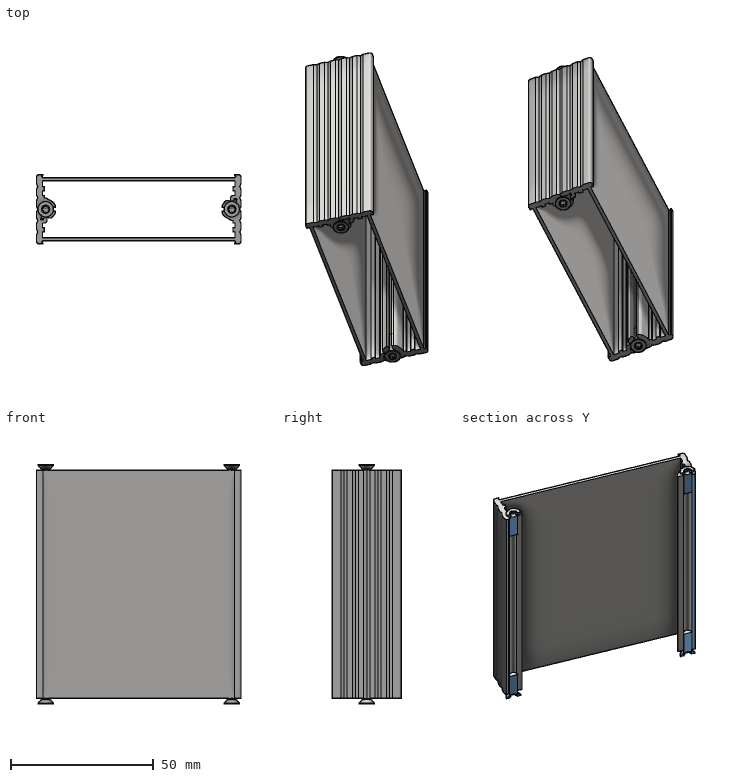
import cadquery as cq
import math

WIDTH = 71.8
DEPTH = 24.4
HEIGHT = 84.0

HEAD_STANDOFF = 2.0
SHELL_LENGTH = HEIGHT - 2 * HEAD_STANDOFF
WALL = 2.2
CORNER_RADIUS = 1.0
PANEL_OUTER_Y = 11.1
PANEL_THICKNESS = 1.2
PANEL_INNER_Y = PANEL_OUTER_Y - PANEL_THICKNESS

FLANGE_REACH = 2.3
FLANGE_TIP_Y = 11.85
FLANGE_ROOT = 1.9
PANEL_START = 2.35

GROOVE_HALF_WIDTH = 1.1
GROOVE_DEPTH = 0.4
GROOVES_PER_HALF = 2
LAST_GROOVE_Y = 8.0
GROOVE_PITCH = LAST_GROOVE_Y / GROOVES_PER_HALF

RIB_HEIGHT = 0.7
RIB_BOTTOM_Y = 6.5
RIB_TOP_Y = 7.9

SCREW_INSET = 3.3
SCREW_X = WIDTH / 2 - SCREW_INSET
WALL_INNER = WALL - SCREW_INSET
BOSS_RADIUS = 3.6
BOSS_REACH = 3.4
BOSS_BACK_ANGLE = math.radians(46)
BOSS_BACK_X = 0.2
BOSS_BACK_Y = 3.95
STEP_TOP_Y = 4.9
SLOT_WIDTH = 1.35

PARTING_END_X = -1.85
HOOK_NECK_X = -1.4
HOOK_NECK_Y = -2.35
HOOK_LEFT = -1.8
HOOK_RIGHT = -0.8
HOOK_BOTTOM = -3.4
HOOK_CLEARANCE = 0.25
JOINT_Y = -2.85
TONGUE_REACH = 0.5
TONGUE_CHAMFER = 0.7
ARM_END_X = 0.9
ARM_BOTTOM_Y = -3.1

SHANK_RADIUS = 1.5
HEAD_RADIUS = 2.7
RIM_HEIGHT = 0.4
SCREW_LENGTH = 10.1
SOCKET_MOUTH_RADIUS = 1.4
SOCKET_MOUTH_DEPTH = 0.25
SOCKET_LOBE_RADIUS = 1.35
SOCKET_VALLEY_RADIUS = 1.0
SOCKET_LOBES = 6
SOCKET_WALL_DEPTH = 1.0
SOCKET_DEPTH = 1.5


def polar(radius, angle):
    """Point at a radius and an angle around the origin."""
    return (radius * math.cos(angle), radius * math.sin(angle))


def extrude_outline(points):
    """Prism of the shell length, centred on Z = 0."""
    return cq.Workplane("XY").polyline(points).close().extrude(SHELL_LENGTH / 2, both=True)


def block(x_min, x_max, y_min, y_max):
    """Rectangular prism of the shell length."""
    return extrude_outline([(x_min, y_min), (x_max, y_min), (x_max, y_max), (x_min, y_max)])


def make_side_wall():
    """Left side wall above the parting line, with rounded corner, grooves and rib."""
    outer_x = -WIDTH / 2
    wall = block(outer_x, outer_x + PANEL_START, 0, DEPTH / 2)
    wall = wall.edges("|Z and <X and >Y").fillet(CORNER_RADIUS)
    wall = wall.cut(block(outer_x + WALL, 0, 0, PANEL_INNER_Y))

    flange_x = outer_x + FLANGE_REACH
    wall = wall.cut(extrude_outline([
        (flange_x, DEPTH / 2),
        (flange_x, FLANGE_TIP_Y),
        (outer_x + FLANGE_ROOT, (FLANGE_TIP_Y + PANEL_OUTER_Y) / 2),
        (outer_x + PANEL_START, PANEL_OUTER_Y),
        (outer_x + PANEL_START, DEPTH / 2),
    ]))

    for index in range(GROOVES_PER_HALF + 1):
        groove_y = index * GROOVE_PITCH
        wall = wall.cut(extrude_outline([
            (outer_x, groove_y - GROOVE_HALF_WIDTH),
            (outer_x + GROOVE_DEPTH, groove_y),
            (outer_x, groove_y + GROOVE_HALF_WIDTH),
        ]))

    rib = block(outer_x + WALL, outer_x + WALL + RIB_HEIGHT, RIB_BOTTOM_Y, RIB_TOP_Y)
    return wall.union(rib)


def make_boss():
    """Solid screw boss of the left side with its sloped back, lower arm and hook."""
    lip_angle = math.acos(BOSS_REACH / BOSS_RADIUS)
    arm_angle = math.asin(ARM_BOTTOM_Y / BOSS_RADIUS)
    hook_rise = JOINT_Y - HOOK_BOTTOM
    step_x = WALL_INNER + RIB_HEIGHT
    boss = (
        cq.Workplane("XY")
        .moveTo(PARTING_END_X, 0)
        .lineTo(HOOK_NECK_X, HOOK_NECK_Y)
        .lineTo(HOOK_LEFT, HOOK_BOTTOM)
        .lineTo(HOOK_RIGHT, HOOK_BOTTOM)
        .lineTo(HOOK_RIGHT + hook_rise, JOINT_Y)
        .lineTo(ARM_END_X, JOINT_Y)
        .lineTo(ARM_END_X, ARM_BOTTOM_Y)
        .lineTo(*polar(BOSS_RADIUS, arm_angle))
        .threePointArc(
            polar(BOSS_RADIUS, (arm_angle - lip_angle) / 2), polar(BOSS_RADIUS, -lip_angle)
        )
        .lineTo(*polar(BOSS_RADIUS, lip_angle))
        .threePointArc(
            polar(BOSS_RADIUS, (lip_angle + BOSS_BACK_ANGLE) / 2),
            polar(BOSS_RADIUS, BOSS_BACK_ANGLE),
        )
        .lineTo(BOSS_BACK_X, BOSS_BACK_Y)
        .lineTo(step_x, BOSS_BACK_Y)
        .lineTo(step_x, STEP_TOP_Y)
        .lineTo(PARTING_END_X, STEP_TOP_Y)
        .close()
        .extrude(SHELL_LENGTH / 2, both=True)
    )
    return boss.translate((-SCREW_X, 0, 0))


def make_screw_channel():
    """Screw hole of the left boss and the slot that opens it to the inside."""
    hole = cq.Workplane("XY").circle(SHANK_RADIUS).extrude(SHELL_LENGTH / 2, both=True)
    slot = block(0, BOSS_REACH, -SLOT_WIDTH / 2, SLOT_WIDTH / 2)
    return hole.union(slot).translate((-SCREW_X, 0, 0))


def make_tongue():
    """Tongue of the right side, reaching in below the other half shell's hook."""
    tongue = block(WALL_INNER, TONGUE_REACH, JOINT_Y, -STEP_TOP_Y)
    tongue = tongue.edges("|Z and >X and <Y").chamfer(TONGUE_CHAMFER)
    return tongue.translate((-SCREW_X, 0, 0)).rotate((0, 0, 0), (0, 0, 1), 180)


def make_hook_seat(boss):
    """Space on the right side for the other half shell's boss, with room below its hook."""
    clearance = block(HOOK_LEFT, HOOK_RIGHT, HOOK_BOTTOM - HOOK_CLEARANCE, HOOK_BOTTOM)
    seat = boss.union(clearance.translate((-SCREW_X, 0, 0)))
    return seat.rotate((0, 0, 0), (0, 0, 1), 180)


def make_half_shell():
    """Panel with a boss on its left side wall and a tongue on its right side wall."""
    left_wall = make_side_wall()
    right_wall = left_wall.mirror("YZ")
    boss = make_boss()
    panel_end = WIDTH / 2 - WALL
    panel = block(-panel_end, panel_end, PANEL_INNER_Y, PANEL_OUTER_Y)

    right_side = right_wall.union(make_tongue()).cut(make_hook_seat(boss))
    left_side = left_wall.union(boss).cut(make_screw_channel())
    return left_side.union(panel).union(right_side)


def make_socket():
    """Six-lobed drive recess with a round mouth at Z = 0 and a conical floor."""
    step = 2 * math.pi / SOCKET_LOBES
    flank_radius = (SOCKET_LOBE_RADIUS + SOCKET_VALLEY_RADIUS) / 2
    outline = cq.Workplane("XY").moveTo(*polar(flank_radius, -step / 4))
    for index in range(SOCKET_LOBES):
        angle = index * step
        outline = outline.threePointArc(
            polar(SOCKET_LOBE_RADIUS, angle), polar(flank_radius, angle + step / 4)
        )
        outline = outline.threePointArc(
            polar(SOCKET_VALLEY_RADIUS, angle + step / 2), polar(flank_radius, angle + 3 * step / 4)
        )
    lobes = outline.close().extrude(-SOCKET_DEPTH)
    pointed_bore = (
        cq.Workplane("XZ")
        .polyline([
            (0, 0),
            (SOCKET_LOBE_RADIUS, 0),
            (SOCKET_LOBE_RADIUS, -SOCKET_WALL_DEPTH),
            (0, -SOCKET_DEPTH),
        ])
        .close()
        .revolve(360, (0, 0, 0), (0, 1, 0))
    )
    mouth = cq.Workplane("XY").circle(SOCKET_MOUTH_RADIUS).extrude(-SOCKET_MOUTH_DEPTH)
    return lobes.intersect(pointed_bore).union(mouth)


def make_screw():
    """Countersunk screw along Z with the top of its head at Z = 0."""
    cone_end = -RIM_HEIGHT - (HEAD_RADIUS - SHANK_RADIUS)
    screw = (
        cq.Workplane("XZ")
        .polyline([
            (0, 0),
            (HEAD_RADIUS, 0),
            (HEAD_RADIUS, -RIM_HEIGHT),
            (SHANK_RADIUS, cone_end),
            (SHANK_RADIUS, -SCREW_LENGTH),
            (0, -SCREW_LENGTH),
        ])
        .close()
        .revolve(360, (0, 0, 0), (0, 1, 0))
    )
    return screw.cut(make_socket())


upper_half_shell = make_half_shell()
half_shells = [upper_half_shell.rotate((0, 0, 0), (0, 0, 1), angle) for angle in (0, 180)]

top_screw = make_screw().translate((0, 0, HEIGHT / 2))
screws = []
for screw_x in (-SCREW_X, SCREW_X):
    for tilt in (0, 180):
        screw = top_screw.rotate((0, 0, 0), (1, 0, 0), tilt)
        screws.append(screw.translate((screw_x, 0, 0)))

result = cq.Compound.makeCompound([body.solids().val() for body in half_shells + screws])